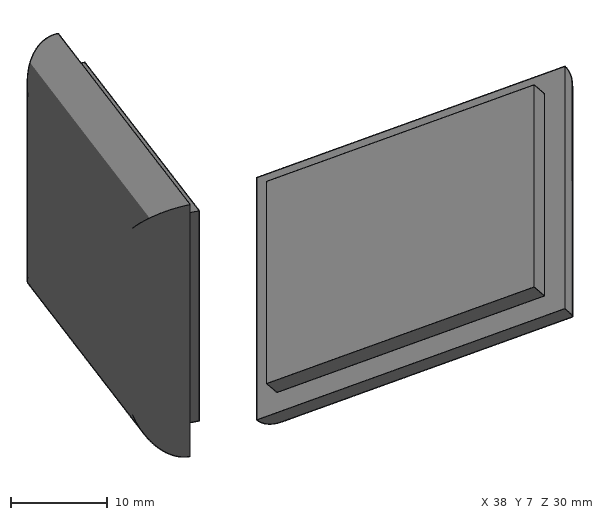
import cadquery as cq
import math

width = 38.0
height = 30.0
depth = 7.0

rim_radius = 5.0

plate_width = 33.0
plate_height = 25.0
plate_thickness = depth - rim_radius


def rounded_bar(plane, across, length):
    """Bar with its back on Y = 0, its front at -Y, and a quarter round on both sides."""
    half_across = across / 2
    flat_half = half_across - rim_radius
    mid_offset = rim_radius * math.sqrt(0.5)
    return (
        cq.Workplane(plane)
        .moveTo(-half_across, 0)
        .threePointArc((-flat_half - mid_offset, -mid_offset), (-flat_half, -rim_radius))
        .lineTo(flat_half, -rim_radius)
        .threePointArc((flat_half + mid_offset, -mid_offset), (half_across, 0))
        .close()
        .extrude(length / 2, both=True)
    )


def make_cover():
    """Cover whose rounded sides meet in mitred corners, where two crossed bars overlap."""
    upright_bar = rounded_bar("XY", width, height)
    level_bar = rounded_bar("ZY", height, width)
    return upright_bar.intersect(level_bar).solids()


def make_back_plate():
    """Rectangular plate centred on the flat back of the cover."""
    return cq.Workplane("XY").box(
        plate_width, plate_thickness, plate_height, centered=(True, False, True)
    )


cover = make_cover()
back_plate = make_back_plate()

result = cq.Compound.makeCompound([cover.val(), back_plate.val()])